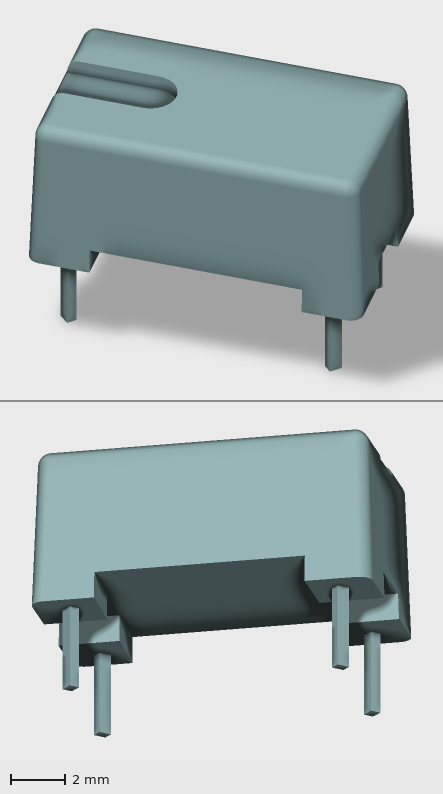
import cadquery as cq
import math

case_length = 12.87
case_width = 7.27
case_height = 6.0
draft_angle = 2.0
edge_radius = 0.5

foot_height = 1.0
end_channel_half_width = 1.18
side_channel_left = -3.98
side_channel_right_front = 4.2
side_channel_right_rear = 3.98

slot_width = 2.0
slot_depth = 0.6
slot_tip_x = -1.74
draft_radians = math.radians(draft_angle)
round_start_z = case_height - edge_radius * (1 - math.sin(draft_radians))
slot_start_x = -case_length / 2 + round_start_z * math.tan(draft_radians)

pin_length = 3.1
pin_broad = 0.5
pin_thick = 0.4
pin_x = 5.1
pin_y = 2.59


def make_case():
    block = (
        cq.Workplane("XY")
        .rect(case_length, case_width)
        .extrude(case_height, taper=draft_angle)
    )
    return block.edges("not <Z").fillet(edge_radius)


def make_end_channel():
    """Channel running along X through both ends."""
    return cq.Workplane("XY").box(
        case_length, 2 * end_channel_half_width, foot_height, centered=(True, True, False)
    )


def make_side_channel():
    """Channel running along Y whose right wall is slightly skewed."""
    half_width = case_width / 2
    return (
        cq.Workplane("XY")
        .moveTo(side_channel_left, -half_width)
        .lineTo(side_channel_right_front, -half_width)
        .lineTo(side_channel_right_rear, half_width)
        .lineTo(side_channel_left, half_width)
        .close()
        .extrude(foot_height)
    )


def make_slot():
    radius = slot_width / 2
    straight_end = slot_tip_x - radius
    return (
        cq.Workplane("XY", origin=(0, 0, case_height - slot_depth))
        .moveTo(slot_start_x, -radius)
        .lineTo(straight_end, -radius)
        .threePointArc((slot_tip_x, 0), (straight_end, radius))
        .lineTo(slot_start_x, radius)
        .close()
        .extrude(slot_depth)
    )


def make_pin(x_side, y_side):
    outward_angle = math.degrees(math.atan2(y_side, x_side))
    return (
        cq.Workplane("XY")
        .rect(pin_thick, pin_broad)
        .extrude(-pin_length)
        .rotate((0, 0, 0), (0, 0, 1), outward_angle)
        .translate((x_side * pin_x, y_side * pin_y, 0))
    )


result = make_case().cut(make_end_channel()).cut(make_side_channel()).cut(make_slot())
for x_side in (-1, 1):
    for y_side in (-1, 1):
        result = result.union(make_pin(x_side, y_side))